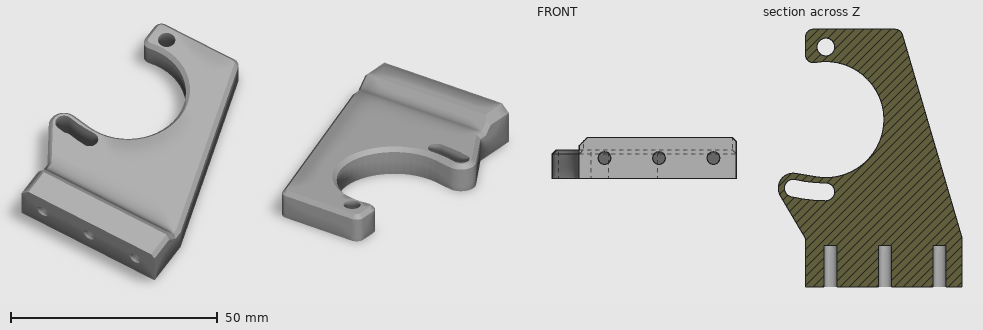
import cadquery as cq
import math

foot_width = 38.0
total_length = 62.4
total_height = 10.0
plate_thickness = 7.0
foot_top_depth = 7.0
shoulder_y = 11.8
top_right_x = 23.15
corner_radius = 2.0
edge_chamfer = 1.0
foot_side_chamfer = 2.0

opening_x = 5.0
opening_y = 40.5
opening_radius = 14.0
pivot_y = 58.0
hole_diameter = 4.2

slot_radius = 35.0
slot_angle = math.radians(13.0)
ear_radius = 3.7

front_hole_diameter = 3.05
front_hole_depth = 10.0
front_hole_first_x = 6.1
front_hole_spacing = 13.15
front_hole_count = 3
front_hole_z = total_height / 2


def around_pivot(radius, angle):
    """Point at a radius from the pivot, angle measured clockwise from -Y."""
    return (opening_x - radius * math.sin(angle), pivot_y - radius * math.cos(angle))


def around(center, radius, angle):
    """Point on a circle, angle measured counterclockwise from +X."""
    return (center[0] + radius * math.cos(angle), center[1] + radius * math.sin(angle))


def make_outline():
    """Closed outline of the whole part, with the finger corners still sharp."""
    ear_center = around_pivot(slot_radius, slot_angle)

    ear_to_shoulder = math.hypot(ear_center[0], ear_center[1] - shoulder_y)
    shoulder_direction = math.atan2(shoulder_y - ear_center[1], -ear_center[0])
    tangent_angle = shoulder_direction - math.acos(ear_radius / ear_to_shoulder)
    tangent_point = around(ear_center, ear_radius, tangent_angle)

    opening_center = (opening_x, opening_y)
    offset_x = opening_x - ear_center[0]
    offset_y = opening_y - ear_center[1]
    center_gap = math.hypot(offset_x, offset_y)
    normal_angle = math.atan2(offset_y, offset_x) + math.acos((ear_radius + opening_radius) / center_gap)
    ear_top = around(ear_center, ear_radius, normal_angle)
    opening_end = around(opening_center, opening_radius, normal_angle + math.pi)
    ear_mid_angle = (normal_angle + tangent_angle + 2 * math.pi) / 2
    ear_mid = around(ear_center, ear_radius, ear_mid_angle)

    finger_tip_y = opening_y + math.sqrt(opening_radius**2 - opening_x**2)
    return (
        cq.Workplane("XY")
        .lineTo(foot_width, 0)
        .lineTo(foot_width, shoulder_y)
        .lineTo(top_right_x, total_length)
        .lineTo(0, total_length)
        .lineTo(0, finger_tip_y)
        .threePointArc((opening_x + opening_radius, opening_y), opening_end)
        .lineTo(*ear_top)
        .threePointArc(ear_mid, tangent_point)
        .lineTo(0, shoulder_y)
        .close()
    )


def make_plate():
    """Flat plate with rounded finger corners and a chamfered upper rim."""
    above_finger = cq.selectors.BoxSelector(
        (-0.6, opening_y, -0.6), (foot_width, total_length + 0.6, total_height)
    )
    plate = make_outline().extrude(plate_thickness)
    plate = plate.edges("|Z").edges(above_finger).fillet(corner_radius)
    return plate.faces(">Z").edges("not <Y").chamfer(edge_chamfer)


def make_foot():
    """Raised foot whose 45 degree back slope runs down into the plate."""
    slope_low_z = total_height - (shoulder_y - foot_top_depth)
    foot = (
        cq.Workplane("YZ")
        .lineTo(shoulder_y, 0)
        .lineTo(shoulder_y, slope_low_z)
        .lineTo(foot_top_depth, total_height)
        .lineTo(0, total_height)
        .close()
        .extrude(foot_width)
    )
    slope_sides = foot.faces(">(0, 1, 1)").edges("not |X").vals()
    right_side = foot.faces(">Z").edges(">X").vals()
    foot = foot.newObject(slope_sides + right_side).chamfer(edge_chamfer)

    left_chamfer = (
        cq.Workplane("XZ")
        .moveTo(0, total_height - foot_side_chamfer)
        .lineTo(foot_side_chamfer, total_height)
        .lineTo(0, total_height)
        .close()
        .extrude(-shoulder_y)
    )
    return foot.cut(left_chamfer)


def make_slot():
    """Curved slot through the plate, from below the pivot towards the ear."""
    half_width = hole_diameter / 2
    inner = slot_radius - half_width
    outer = slot_radius + half_width
    right_cap = (opening_x + half_width, pivot_y - slot_radius)
    left_center = around_pivot(slot_radius, slot_angle)
    left_cap = around(left_center, half_width, math.pi - slot_angle)
    return (
        cq.Workplane("XY")
        .moveTo(*around_pivot(inner, 0))
        .threePointArc(around_pivot(inner, slot_angle / 2), around_pivot(inner, slot_angle))
        .threePointArc(left_cap, around_pivot(outer, slot_angle))
        .threePointArc(around_pivot(outer, slot_angle / 2), around_pivot(outer, 0))
        .threePointArc(right_cap, around_pivot(inner, 0))
        .close()
        .extrude(plate_thickness)
    )


def make_pivot_hole():
    return (
        cq.Workplane("XY")
        .center(opening_x, pivot_y)
        .circle(hole_diameter / 2)
        .extrude(plate_thickness)
    )


def make_front_holes():
    """Row of blind holes running in +Y from the front face."""
    centers = [
        (front_hole_first_x + index * front_hole_spacing, front_hole_z)
        for index in range(front_hole_count)
    ]
    return (
        cq.Workplane("XZ")
        .pushPoints(centers)
        .circle(front_hole_diameter / 2)
        .extrude(-front_hole_depth)
    )


body = make_plate().union(make_foot())
result = body.cut(make_slot()).cut(make_pivot_hole()).cut(make_front_holes())